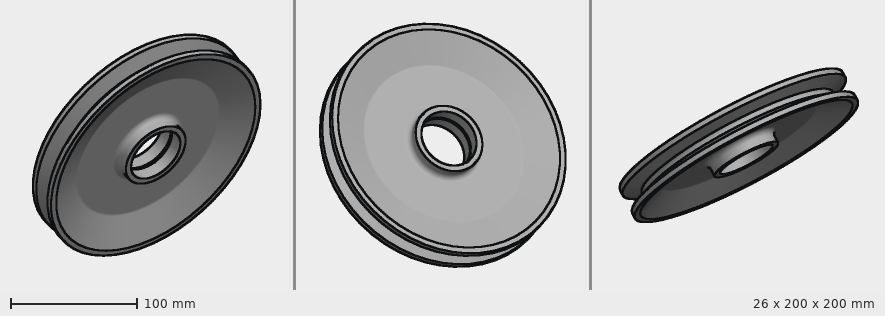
import cadquery as cq
import math

outer_radius = 100.0
width = 26.0
half_width = width / 2

rim_land_width = 5.0
groove_half_opening = half_width - rim_land_width
groove_wall_depth = 14.2
groove_root_half_width = 2.5
groove_root_sag = 0.8

rim_face_width = 5.0
dish_outer_radius = outer_radius - rim_face_width
dish_inner_radius = 68.0
web_thickness = 4.0
dish_depth = half_width - web_thickness / 2
dish_fillet = 5.0

hub_radius = 57.0 / 2
hub_fillet = 5.0
bore_radius = 47.0 / 2
ring_groove_radius = 49.5 / 2
ring_groove_width = 2.0


def ring(inner, outer, start, length):
    """Tube along +X, beginning at X = start."""
    return cq.Workplane("YZ", origin=(start, 0, 0)).circle(outer).circle(inner).extrude(length)


def revolve_about_x(profile):
    """Revolve an XY profile, with Y as the radius, about the X axis."""
    return profile.close().revolve(360, (0, 0, 0), (1, 0, 0))


def v_groove():
    """V groove with a shallow concave root between its straight walls."""
    root_edge_radius = outer_radius - groove_wall_depth
    root_bottom = root_edge_radius - groove_root_sag
    return revolve_about_x(
        cq.Workplane("XY")
        .moveTo(-groove_half_opening, outer_radius)
        .lineTo(-groove_root_half_width, root_edge_radius)
        .threePointArc((0, root_bottom), (groove_root_half_width, root_edge_radius))
        .lineTo(groove_half_opening, outer_radius)
    )


def dish():
    """Recess in the -X face: hub fillet, flat web, small fillet and cone."""
    web_x = -half_width + dish_depth
    slope = math.atan2(dish_depth, dish_outer_radius - dish_inner_radius)
    tangent_length = dish_fillet * math.tan(slope / 2)
    flat_end = dish_inner_radius - tangent_length
    cone_start = (
        web_x - tangent_length * math.sin(slope),
        dish_inner_radius + tangent_length * math.cos(slope),
    )
    arc_middle = (
        web_x - dish_fillet * (1 - math.cos(slope / 2)),
        flat_end + dish_fillet * math.sin(slope / 2),
    )
    diagonal = hub_fillet * math.sqrt(0.5)
    hub_arc_middle = (
        web_x - hub_fillet + diagonal,
        hub_radius + hub_fillet - diagonal,
    )
    return revolve_about_x(
        cq.Workplane("XY")
        .moveTo(-half_width, hub_radius)
        .lineTo(web_x - hub_fillet, hub_radius)
        .threePointArc(hub_arc_middle, (web_x, hub_radius + hub_fillet))
        .lineTo(web_x, flat_end)
        .threePointArc(arc_middle, cone_start)
        .lineTo(-half_width, dish_outer_radius)
    )


blank = ring(bore_radius, outer_radius, -half_width, width)
ring_groove = ring(bore_radius, ring_groove_radius, -ring_groove_width / 2, ring_groove_width)
near_dish = dish()
far_dish = near_dish.mirror("YZ")

result = blank.cut(v_groove()).cut(near_dish).cut(far_dish).cut(ring_groove)